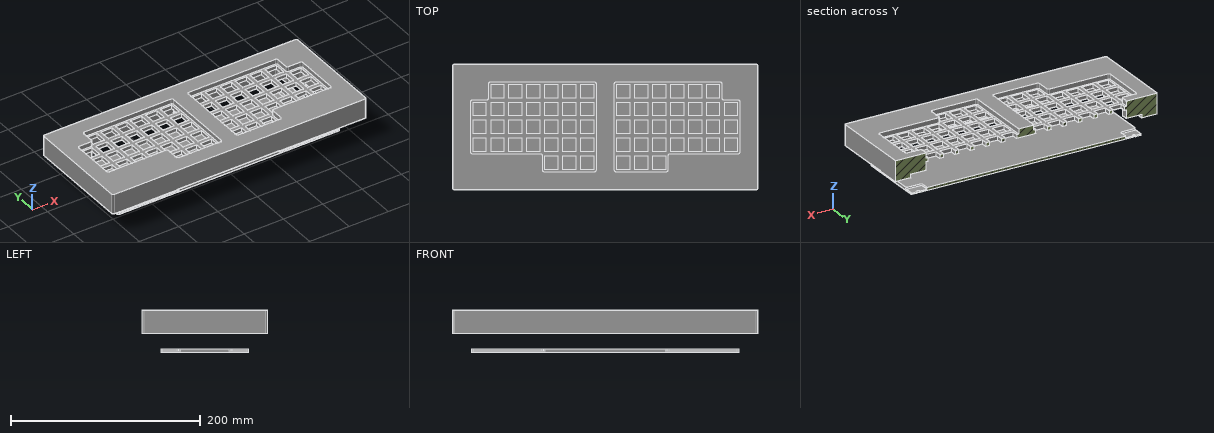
import cadquery as cq
LENGTH = 323.0
COLUMNS_PER_HALF = 7
KEYS_IN_ROW = [6, COLUMNS_PER_HALF, COLUMNS_PER_HALF, COLUMNS_PER_HALF, 3]
ROWS = len(KEYS_IN_ROW)
BORDER_PITCHES = 1
MIDDLE_GAP_PITCHES = 1
GRID_PITCHES = 2 * COLUMNS_PER_HALF + MIDDLE_GAP_PITCHES
PITCH = LENGTH / (GRID_PITCHES + 2 * BORDER_PITCHES)
WIDTH = (ROWS + 2 * BORDER_PITCHES) * PITCH
GRID_LENGTH = GRID_PITCHES * PITCH
GRID_WIDTH = ROWS * PITCH
GAP_HALF = MIDDLE_GAP_PITCHES * PITCH / 2
SWITCH_HOLE = 14.2

TOTAL_HEIGHT = 45.0
HOUSING_HEIGHT = 25.0
HOUSING_BOTTOM = TOTAL_HEIGHT - HOUSING_HEIGHT
COVER_FLANGE = 2.0
COVER_HEIGHT = 2 * COVER_FLANGE

GRID_DEPTH = 6.0
GRID_THICKNESS = 5.0
GRID_TOP = TOTAL_HEIGHT - GRID_DEPTH
GRID_BOTTOM = GRID_TOP - GRID_THICKNESS

WINDOW_WIDTH = 16.0
WINDOW_SILL = 5.8
WINDOW_BOTTOM = HOUSING_BOTTOM + WINDOW_SILL

CORNER_RADIUS = 2.0
COVER_CLEARANCE = 1.0
SCREW_DIAMETER = 3.2


def row_end(keys):
    """X of the outer edge of a row with this many keys on the right half."""
    return GAP_HALF + keys * PITCH


def stepped_edge():
    """Outer outline of the right half, from the front to the back, stepping with the row lengths."""
    back = GRID_WIDTH / 2
    step = back - PITCH
    front_x = row_end(KEYS_IN_ROW[-1])
    side_x = row_end(COLUMNS_PER_HALF)
    back_x = row_end(KEYS_IN_ROW[0])
    return [
        (front_x, -back),
        (front_x, -step),
        (side_x, -step),
        (side_x, step),
        (back_x, step),
        (back_x, back),
    ]


def key_opening(bottom, height):
    """The two separate stepped openings, one over each half of the keys."""
    back = GRID_WIDTH / 2
    outline = [(GAP_HALF, -back)] + stepped_edge() + [(GAP_HALF, back)]
    right = cq.Workplane("XY", origin=(0, 0, bottom)).polyline(outline).close().extrude(height)
    right = right.edges("|Z").fillet(CORNER_RADIUS)
    return right.union(right.mirror("YZ"))


def joined_area(bottom, height, clearance):
    """One stepped block spanning both halves, drawn in from the key outline by the clearance."""
    right = stepped_edge()
    left = [(-x, y) for x, y in reversed(right)]
    outline = cq.Workplane("XY", origin=(0, 0, bottom)).polyline(right + left).close()
    if clearance:
        outline = outline.offset2D(-clearance, "intersection")
    return outline.extrude(height).edges("|Z").fillet(CORNER_RADIUS)


def rounded_block(length, width, bottom, height):
    """Rectangular block centred in plan, with rounded upright corners."""
    block = cq.Workplane("XY", origin=(0, 0, bottom)).rect(length, width).extrude(height)
    return block.edges("|Z").fillet(CORNER_RADIUS)


def switch_holes():
    """Square cutters through the grid, one under every key."""
    centres = []
    for row, keys in enumerate(KEYS_IN_ROW):
        y = ((ROWS - 1) / 2 - row) * PITCH
        for key in range(keys):
            x = GAP_HALF + (key + 0.5) * PITCH
            centres += [(x, y), (-x, y)]
    grid = cq.Workplane("XY", origin=(0, 0, GRID_BOTTOM)).pushPoints(centres)
    return grid.rect(SWITCH_HOLE, SWITCH_HOLE).extrude(GRID_THICKNESS)


def cable_window():
    """Rectangular cutter running through the whole thickness of the back wall."""
    wall = BORDER_PITCHES * PITCH
    window = cq.Workplane("XY", origin=(0, GRID_WIDTH / 2, WINDOW_BOTTOM))
    return window.box(WINDOW_WIDTH, wall, GRID_BOTTOM - WINDOW_BOTTOM, centered=(True, False, False))


def make_housing():
    """Case with the switch grid between the key openings above and the cavity below."""
    block = rounded_block(LENGTH, WIDTH, HOUSING_BOTTOM, HOUSING_HEIGHT)
    cavity = joined_area(HOUSING_BOTTOM, GRID_BOTTOM - HOUSING_BOTTOM, 0)
    recess = rounded_block(GRID_LENGTH, GRID_WIDTH, HOUSING_BOTTOM, COVER_HEIGHT)
    housing = block.cut(key_opening(GRID_TOP, GRID_DEPTH)).cut(cavity).cut(recess)
    return housing.cut(switch_holes()).cut(cable_window())


def make_cover():
    """Bottom cover: a rectangular flange under a stepped block, held below the housing."""
    length = GRID_LENGTH - 2 * COVER_CLEARANCE
    width = GRID_WIDTH - 2 * COVER_CLEARANCE
    flange = rounded_block(length, width, 0, COVER_FLANGE)
    cover = flange.union(joined_area(0, COVER_HEIGHT, COVER_CLEARANCE))
    spacing_x = GRID_LENGTH - PITCH
    spacing_y = GRID_WIDTH - PITCH
    screws = cq.Workplane("XY").rarray(spacing_x, spacing_y, 2, 2).circle(SCREW_DIAMETER / 2)
    return cover.cut(screws.extrude(COVER_FLANGE))


housing = make_housing()
cover = make_cover()
result = cq.Compound.makeCompound([housing.val(), cover.val()])